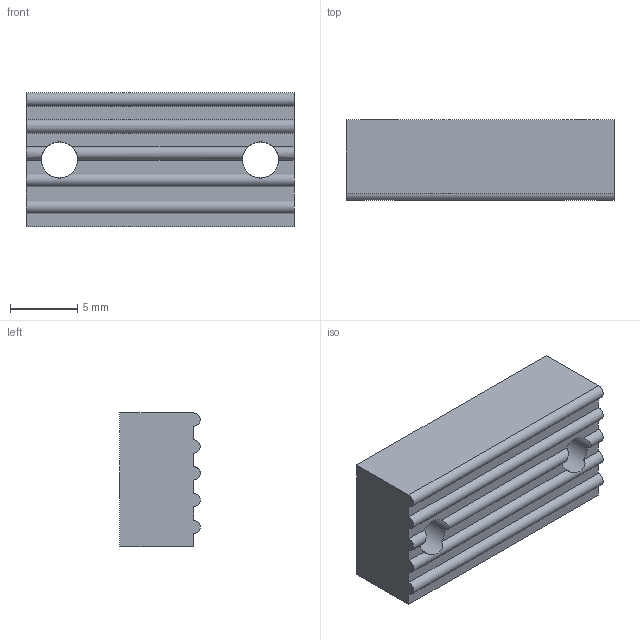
import cadquery as cq

length = 20.0
depth = 6.0
height = 10.0

rib_radius = 0.5
rib_pitch = 2.0
rib_count = 5

hole_diameter = 2.7
hole_spacing = 15.0

body_depth = depth - rib_radius
top_rib_z = height / 2 - rib_radius


def make_body():
    """Plain block whose front face lies on the XZ plane."""
    return cq.Workplane("XY").box(length, body_depth, height, centered=(True, False, True))


def make_rib(z):
    """Round bar centred on the front face, so half of it stands proud."""
    return (
        cq.Workplane("YZ")
        .center(0, z)
        .circle(rib_radius)
        .extrude(length / 2, both=True)
    )


def make_holes():
    """Cutters for the two holes, spanning body and ribs."""
    return (
        cq.Workplane("XZ", origin=(0, body_depth, 0))
        .pushPoints([(-hole_spacing / 2, 0), (hole_spacing / 2, 0)])
        .circle(hole_diameter / 2)
        .extrude(depth)
    )


result = make_body()
for index in range(rib_count):
    result = result.union(make_rib(top_rib_z - index * rib_pitch))
result = result.cut(make_holes())